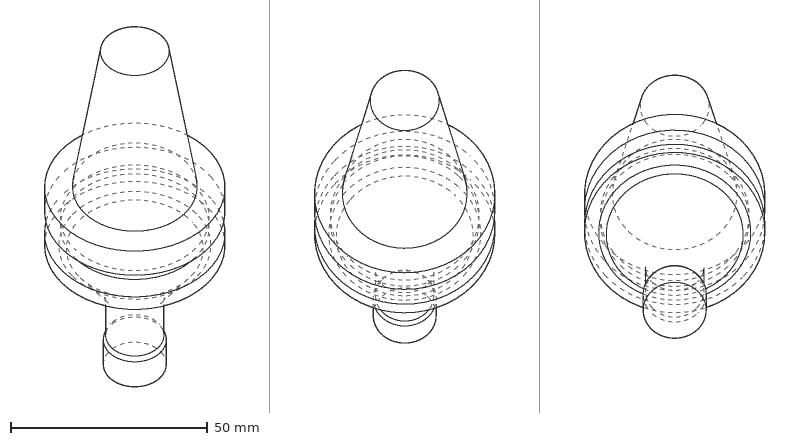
import cadquery as cq
import math

total_length = 113.4
nose_length = 9.1
nose_step_top = 10.5
neck_top = 23.2
fillet_top = 27.2
lip_bottom = 42.0
flange_underside = 43.1
lower_rim_top = 47.6
groove_bottom = 49.9
groove_top = 53.1
upper_rim_bottom = 55.5
flange_top = 64.2
taper_start = 65.2

nose_diameter = 16.1
neck_diameter = 14.9
fillet_top_diameter = 16.8
cone_top_diameter = 34.9
flange_lip_diameter = 38.8
flange_diameter = 46.0
groove_diameter = 38.0
taper_large_diameter = 31.8
taper_small_diameter = 17.6


def revolve_profile():
    """Revolve the half section (radius, height) about the Z axis."""
    neck_radius = neck_diameter / 2
    fillet_radius_gain = (fillet_top_diameter - neck_diameter) / 2
    fillet_height = fillet_top - neck_top
    arc_radius = (fillet_height**2 + fillet_radius_gain**2) / (2 * fillet_radius_gain)
    half_angle = math.asin(fillet_height / arc_radius) / 2
    arc_middle = (
        neck_radius + arc_radius * (1 - math.cos(half_angle)),
        neck_top + arc_radius * math.sin(half_angle),
    )
    return (
        cq.Workplane("XZ")
        .lineTo(nose_diameter / 2, 0)
        .lineTo(nose_diameter / 2, nose_length)
        .lineTo(neck_radius, nose_step_top)
        .lineTo(neck_radius, neck_top)
        .threePointArc(arc_middle, (fillet_top_diameter / 2, fillet_top))
        .lineTo(cone_top_diameter / 2, lip_bottom)
        .lineTo(flange_lip_diameter / 2, flange_underside)
        .lineTo(flange_diameter / 2, flange_underside)
        .lineTo(flange_diameter / 2, lower_rim_top)
        .lineTo(groove_diameter / 2, groove_bottom)
        .lineTo(groove_diameter / 2, groove_top)
        .lineTo(flange_diameter / 2, upper_rim_bottom)
        .lineTo(flange_diameter / 2, flange_top)
        .lineTo(taper_large_diameter / 2, flange_top)
        .lineTo(taper_large_diameter / 2, taper_start)
        .lineTo(taper_small_diameter / 2, total_length)
        .lineTo(0, total_length)
        .close()
        .revolve(360, (0, 0, 0), (0, 1, 0))
    )


result = revolve_profile()